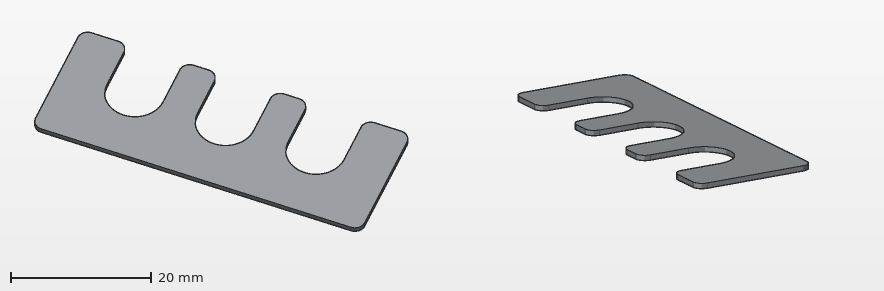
import cadquery as cq

length = 50.8
width = 19.05
thickness = 0.8
corner_radius = 1.5

slot_count = 3
slot_pitch = 13.95
slot_width = 8.65
slot_depth = 12.25
slot_radius = slot_width / 2


def make_plate():
    """Flat rectangular plate with its base on Z = 0."""
    return cq.Workplane("XY").box(length, width, thickness, centered=(True, True, False))


def make_slot(center_x):
    """Cutter for one slot, open at the +Y edge with a round inner end."""
    left = center_x - slot_radius
    right = center_x + slot_radius
    edge_y = width / 2
    bottom_y = edge_y - slot_depth
    arc_start_y = bottom_y + slot_radius
    return (
        cq.Workplane("XY")
        .moveTo(left, edge_y)
        .lineTo(left, arc_start_y)
        .threePointArc((center_x, bottom_y), (right, arc_start_y))
        .lineTo(right, edge_y)
        .close()
        .extrude(thickness)
    )


comb = make_plate()
for index in range(slot_count):
    offset = index - (slot_count - 1) / 2
    comb = comb.cut(make_slot(offset * slot_pitch))

front_and_back_corners = comb.faces("<Y or >Y").edges("|Z")
result = front_and_back_corners.fillet(corner_radius)